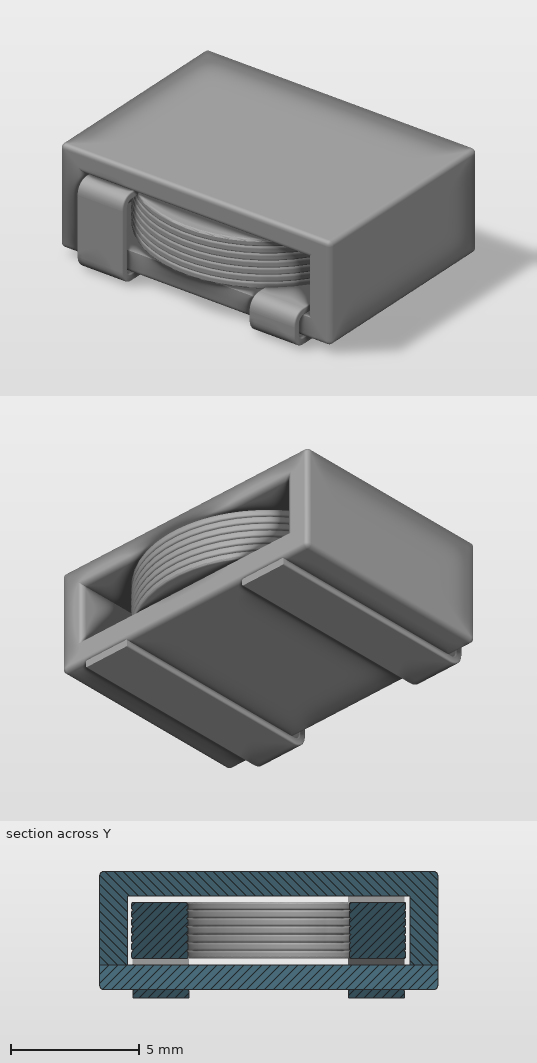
import cadquery as cq

CORE_LENGTH = 13.2
CORE_DEPTH = 9.5
CORE_ROUND = 0.2
TOP_THICKNESS = 0.99
WALL_THICKNESS = 1.11
BASE_THICKNESS = 0.99
WINDOW_HEIGHT = 2.65
MOUTH_ROUND = 0.21

WIRE_WIDTH = 2.22
WIRE_THICKNESS = 0.32
TURN_ROUND = 0.09
LEAD_ROUND = 0.05
COIL_DIAMETER = 10.7
TURN_COUNT = 7
LEAD_CENTER_X = 4.2
BEND_RADIUS = 0.6

base_bottom = WIRE_THICKNESS
base_top = base_bottom + BASE_THICKNESS
window_top = base_top + WINDOW_HEIGHT
core_top = window_top + TOP_THICKNESS

coil_radius = COIL_DIAMETER / 2
coil_height = TURN_COUNT * WIRE_THICKNESS
coil_bottom = (base_top + window_top - coil_height) / 2


def rounded_block(bottom, top, end_face):
    """Core-sized block with rounded corners and rounded edges on one end face."""
    return (
        cq.Workplane("XY", origin=(0, 0, bottom))
        .rect(CORE_LENGTH, CORE_DEPTH)
        .extrude(top - bottom)
        .edges("|Z")
        .fillet(CORE_ROUND)
        .faces(end_face)
        .edges()
        .fillet(CORE_ROUND)
    )


def make_base_plate():
    return rounded_block(base_bottom, base_top, "<Z")


def make_upper_core():
    """U-shaped shell: a window runs through it along Y, open to the base plate."""
    window_length = CORE_LENGTH - 2 * WALL_THICKNESS
    window = cq.Workplane("XY", origin=(0, 0, base_top)).box(
        window_length, 2 * CORE_DEPTH, WINDOW_HEIGHT, centered=(True, True, False)
    )
    core = rounded_block(base_top, core_top, ">Z").cut(window)
    mouth_reach = window_length / 2 + MOUTH_ROUND / 2
    for side in (-1, 1):
        mouth_edges = cq.selectors.BoxSelector(
            (-mouth_reach, side * CORE_DEPTH / 2 - MOUTH_ROUND / 2, base_top + MOUTH_ROUND / 2),
            (mouth_reach, side * CORE_DEPTH / 2 + MOUTH_ROUND / 2, window_top + MOUTH_ROUND / 2),
        )
        core = core.edges(mouth_edges).fillet(MOUTH_ROUND)
    return core


def make_turn(index):
    """One ring of the coil, with the rounded edges of the wire."""
    return (
        cq.Workplane("XY", origin=(0, 0, coil_bottom + index * WIRE_THICKNESS))
        .circle(coil_radius)
        .circle(coil_radius - WIRE_WIDTH)
        .extrude(WIRE_THICKNESS)
        .edges()
        .fillet(TURN_ROUND)
    )


def make_lead(center_x, arm_level):
    """Wire from the coil over the front of the base and back under it as a foot.

    arm_level is the mid-height of the straight arm that leaves the coil.
    """
    foot_level = WIRE_THICKNESS / 2
    bend = BEND_RADIUS - WIRE_THICKNESS / 2
    front_y = WIRE_THICKNESS / 2 - coil_radius
    path = (
        cq.Workplane("YZ", origin=(center_x, 0, 0))
        .moveTo(CORE_DEPTH / 2, foot_level)
        .lineTo(front_y + bend, foot_level)
        .tangentArcPoint((front_y, foot_level + bend), relative=False)
        .lineTo(front_y, arm_level - bend)
        .tangentArcPoint((front_y + bend, arm_level), relative=False)
        .lineTo(0, arm_level)
    )
    section = cq.Sketch().rect(WIRE_WIDTH, WIRE_THICKNESS).vertices().fillet(LEAD_ROUND)
    return (
        cq.Workplane("XZ", origin=(center_x, CORE_DEPTH / 2, foot_level))
        .placeSketch(section)
        .sweep(path)
    )


def make_winding():
    winding = make_turn(0)
    for index in range(1, TURN_COUNT):
        winding = winding.union(make_turn(index))
    upper_arm_level = window_top - WIRE_THICKNESS / 2
    lower_arm_level = base_top + WIRE_THICKNESS / 2
    winding = winding.union(make_lead(-LEAD_CENTER_X, upper_arm_level))
    return winding.union(make_lead(LEAD_CENTER_X, lower_arm_level))


base_plate = make_base_plate()
upper_core = make_upper_core()
winding = make_winding()

result = cq.Compound.makeCompound([base_plate.val(), upper_core.val(), *winding.vals()])